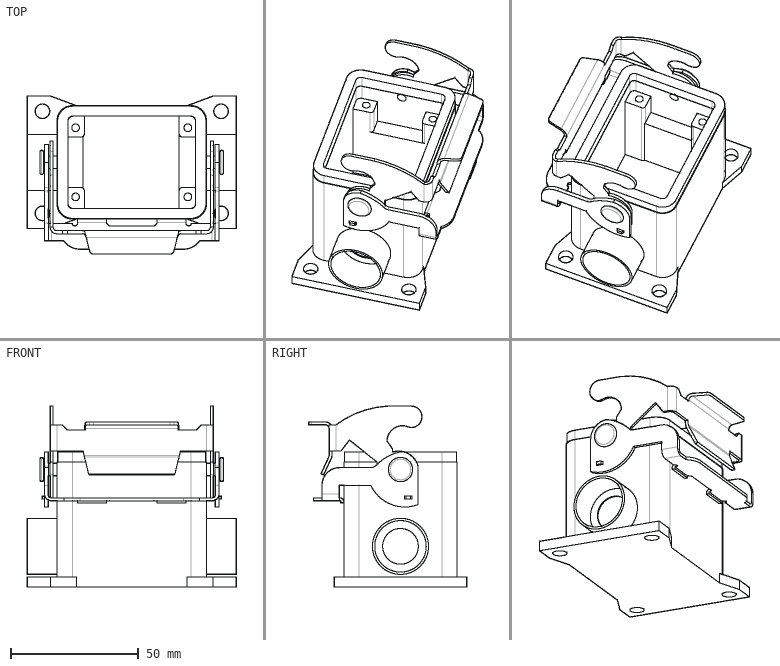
import cadquery as cq
import math

body_length = 58.6
body_width = 44.46
body_top = 53.0
body_corner_radius = 6.0
rim_step_height = 4.0
rim_step_inset = 0.25

cavity_length = 50.1
cavity_width = 36.3
cavity_corner_radius = 2.0
cavity_floor = 4.0
cavity_mouth_depth = 5.0
cavity_mouth_inset = 0.08
boss_top = 41.0
boss_inner_x = 18.6
boss_inner_y = 9.9
boss_edge_radius = 1.2
ledge_top = 29.7
ledge_left_x = -19.2
ledge_right_x = 18.6
screw_spacing_x = 44.0
screw_spacing_y = 27.1
screw_hole_diameter = 3.0
screw_hole_depth = 10.0

flange_length = 82.0
flange_width = 52.0
flange_thickness = 4.0
flange_tip_x = 31.8
flange_root_x = 21.7
mount_spacing_x = 70.0
mount_spacing_y = 40.0
mount_hole_diameter = 5.6

entry_height = 16.0
entry_diameter = 22.0
entry_bore_diameter = 20.2
entry_bore_depth = 13.0
knockout_diameter = 14.0
knockout_depth = 0.5

pivot_z = 46.1
pin_diameter = 5.0
pin_head_diameter = 9.5
pin_head_thickness = 1.45
pin_head_rounding = 0.72
pin_head_outer_x = 36.0
dimple_diameter = 3.6
dimple_depth = 0.5

lever_thickness = 1.2
lever_outer_x = 32.0
lever_bend_radius = 2.7
lever_strip_y = -28.0
lever_strip_top = 63.6
lever_strip_bottom = 53.3
lever_lobe_radius = 9.3
lever_lobe_z = 44.1
lever_lobe_back_y = 6.5
lever_head_y = 4.2
lever_head_radius = 4.25
lever_top = 71.0
lever_back_start_y = -4.9
lever_back_crown = (-15.2, 69.0)
hook_lip_mid = (3.0, 62.75)
hook_lip_end = (2.0, 63.1)
hook_throat_mid = (-2.7, 62.1)
hook_throat_end = (-5.25, 57.3)
lever_neck_y = -3.1
lever_neck_z = 54.2
lobe_shoulder_mid = (4.0, 51.6)
lever_arm_root_z = 49.1
lever_notch_peak = (-20.0, 57.6)
lever_notch_foot_y = -23.3
strip_shoulder_x = 27.2
strip_dip_x = 25.2
strip_dip_z = 61.6
lip_root_x = 18.5
lip_tip_x = 16.2
lip_tip_y = -35.98
lip_top = 64.8
lip_corner_radius = 1.5
flap_root_x = 19.1
flap_tip_x = 16.8
flap_bend_z = 51.3
flap_tip_z = 43.9
flap_angle = 25.0
flap_corner_radius = 1.0

bracket_leaf_thickness = 1.5
bracket_outer_x = 34.2
bracket_bend_radius = 2.8
bracket_bend_inner_radius = 1.3
bracket_eye_radius = 6.95
bracket_shoulder_mid = (-6.2, 50.5)
bracket_shoulder_end = (-9.8, 47.5)
bracket_arm_blend_mid = (-10.4, 47.1)
bracket_arm_start_y = -11.2
bracket_arm_top = 46.9
bracket_arm_bottom = 39.9
bracket_arm_front_y = -30.8
bracket_arm_back_y = -23.9
bracket_belly_radius = 14.7
bracket_belly_y = 1.7
bracket_plate_bottom = 33.8
bracket_plate_thickness = 1.2
bracket_nose_y = -34.1
bracket_nose_x = 20.2
bracket_nose_radius = 7.9
gap_x = 9.8
gap_y = -24.9
gap_chamfer = 0.99
tab_outer_x = 21.3
tab_bottom = 33.0
tab_bend_radius = 1.4
tab_thickness = 1.2
relief_width = 2.0
relief_depth = 0.9
relief_corner_radius = 0.85

lug_y = 3.05
lug_z = 35.1
lug_base_length = 3.0
lug_tip_length = 1.8
lug_height = 1.2
lug_rise = 0.9


def with_mirror_x(solid):
    return solid.union(solid.mirror("YZ"))


def block(x_min, x_max, y_min, y_max, z_min, z_max):
    return cq.Workplane("XY").box(
        x_max - x_min, y_max - y_min, z_max - z_min, centered=False
    ).translate((x_min, y_min, z_min))


def yz_sketch(x):
    return cq.Workplane("YZ", origin=(x, 0, 0))


def x_cylinder(diameter, x_start, length, z):
    return yz_sketch(x_start).center(0, z).circle(diameter / 2).extrude(length)


def make_shell():
    lower_height = body_top - rim_step_height
    shell = (
        cq.Workplane("XY")
        .rect(body_length, body_width)
        .extrude(lower_height)
        .edges("|Z")
        .fillet(body_corner_radius)
    )
    rim = (
        cq.Workplane("XY", origin=(0, 0, lower_height))
        .rect(body_length - 2 * rim_step_inset, body_width - 2 * rim_step_inset)
        .extrude(rim_step_height)
        .edges("|Z")
        .fillet(body_corner_radius - rim_step_inset)
    )
    return shell.union(rim)


def make_cavity():
    mouth_bottom = body_top - cavity_mouth_depth
    cavity = (
        cq.Workplane("XY", origin=(0, 0, cavity_floor))
        .rect(cavity_length - 2 * cavity_mouth_inset, cavity_width - 2 * cavity_mouth_inset)
        .extrude(mouth_bottom - cavity_floor)
        .edges("|Z")
        .fillet(cavity_corner_radius - cavity_mouth_inset)
    )
    mouth = (
        cq.Workplane("XY", origin=(0, 0, mouth_bottom))
        .rect(cavity_length, cavity_width)
        .extrude(cavity_mouth_depth)
        .edges("|Z")
        .fillet(cavity_corner_radius)
    )
    half_length = body_length / 2
    half_width = body_width / 2
    left_ledge = block(-half_length, ledge_left_x, -half_width, half_width, 0, ledge_top)
    right_ledge = block(ledge_right_x, half_length, -half_width, half_width, 0, ledge_top)
    cavity = cavity.union(mouth).cut(left_ledge).cut(right_ledge)
    boss = block(boss_inner_x, half_length, boss_inner_y, half_width, 0, boss_top)
    boss = boss.edges("|Z and <X and <Y").fillet(boss_edge_radius)
    bosses = with_mirror_x(boss)
    bosses = bosses.union(bosses.mirror("XZ"))
    return cavity.cut(bosses)


def make_flange():
    flange = (
        cq.Workplane("XY")
        .rect(flange_length, body_width)
        .extrude(flange_thickness)
    )
    ear = (
        cq.Workplane("XY")
        .moveTo(flange_root_x, 0)
        .lineTo(flange_root_x, body_width / 2)
        .lineTo(flange_tip_x, flange_width / 2)
        .lineTo(flange_length / 2, flange_width / 2)
        .lineTo(flange_length / 2, 0)
        .close()
        .extrude(flange_thickness)
    )
    ears = with_mirror_x(ear)
    return flange.union(ears).union(ears.mirror("XZ"))


def make_housing():
    entry = x_cylinder(entry_diameter, -flange_length / 2, flange_length, entry_height)
    housing = make_shell().union(entry).union(make_flange()).cut(make_cavity())

    bore_end_x = flange_length / 2 - entry_bore_depth
    bore = x_cylinder(entry_bore_diameter, bore_end_x, entry_bore_depth, entry_height)
    knockout = x_cylinder(knockout_diameter, bore_end_x - knockout_depth, entry_bore_depth, entry_height)
    dimple = x_cylinder(dimple_diameter, cavity_length / 2, dimple_depth, pivot_z)
    housing = housing.cut(with_mirror_x(bore.union(knockout).union(dimple)))

    mount_holes = (
        cq.Workplane("XY")
        .rect(mount_spacing_x, mount_spacing_y, forConstruction=True)
        .vertices()
        .circle(mount_hole_diameter / 2)
        .extrude(flange_thickness)
    )
    screw_holes = (
        cq.Workplane("XY", origin=(0, 0, boss_top))
        .rect(screw_spacing_x, screw_spacing_y, forConstruction=True)
        .vertices()
        .circle(screw_hole_diameter / 2)
        .extrude(-screw_hole_depth)
    )
    return housing.cut(mount_holes).cut(screw_holes)


def make_pins():
    head_inner_x = pin_head_outer_x - pin_head_thickness
    wall_x = (body_length + cavity_length) / 4
    shaft = x_cylinder(pin_diameter, wall_x, pin_head_outer_x - wall_x - pin_head_rounding, pivot_z)
    head = x_cylinder(pin_head_diameter, head_inner_x, pin_head_thickness, pivot_z)
    head = head.edges().fillet(pin_head_rounding)
    return with_mirror_x(shaft.union(head))


def make_lever_leaf():
    head_z = lever_top - lever_head_radius
    head_bottom = head_z - lever_head_radius
    lobe_back_z = lever_lobe_z - math.sqrt(lever_lobe_radius**2 - lever_lobe_back_y**2)
    lobe_diagonal = lever_lobe_radius / math.sqrt(2)
    bend_y = lever_strip_y + lever_bend_radius
    return (
        yz_sketch(lever_outer_x - lever_thickness)
        .moveTo(lever_back_start_y, lever_top)
        .lineTo(lever_head_y, lever_top)
        .threePointArc((lever_head_y + lever_head_radius, head_z), (lever_head_y, head_bottom))
        .threePointArc(hook_lip_mid, hook_lip_end)
        .threePointArc(hook_throat_mid, hook_throat_end)
        .lineTo(lever_neck_y, lever_neck_z)
        .lineTo(lever_neck_y, body_top)
        .threePointArc(lobe_shoulder_mid, (lever_lobe_back_y, pivot_z))
        .lineTo(lever_lobe_back_y, lobe_back_z)
        .threePointArc((-lobe_diagonal, lever_lobe_z - lobe_diagonal), (-lever_lobe_radius, lever_lobe_z))
        .lineTo(-lever_lobe_radius, lever_arm_root_z)
        .lineTo(*lever_notch_peak)
        .lineTo(lever_notch_foot_y, lever_strip_bottom)
        .lineTo(bend_y, lever_strip_bottom)
        .lineTo(bend_y, lever_strip_top)
        .threePointArc(lever_back_crown, (lever_back_start_y, lever_top))
        .close()
        .extrude(lever_thickness)
    )


def make_lever_strip():
    depth = 2 * lever_bend_radius
    outer = (
        cq.Workplane("XY")
        .rect(2 * lever_outer_x, 2 * depth)
        .extrude(lever_strip_top)
        .edges("|Z and <Y")
        .fillet(lever_bend_radius)
    )
    inner = (
        cq.Workplane("XY")
        .rect(2 * (lever_outer_x - lever_thickness), 2 * (depth - lever_thickness))
        .extrude(lever_strip_top)
        .edges("|Z and <Y")
        .fillet(lever_bend_radius - lever_thickness)
    )
    ring = outer.cut(inner).translate((0, lever_strip_y + depth, 0))
    bend_y = lever_strip_y + lever_bend_radius
    span = (-lever_outer_x, lever_outer_x)
    strip = ring.intersect(block(*span, lever_strip_y, bend_y, lever_strip_bottom, lever_strip_top))
    dip = (
        cq.Workplane("XZ")
        .moveTo(-strip_shoulder_x, lever_strip_top)
        .lineTo(-strip_dip_x, strip_dip_z)
        .lineTo(strip_dip_x, strip_dip_z)
        .lineTo(strip_shoulder_x, lever_strip_top)
        .close()
        .extrude(flange_width)
    )
    return strip.cut(dip)


def make_lip():
    inner_y = lever_strip_y + lever_thickness
    inner_radius = lever_bend_radius - lever_thickness
    bend_z = lip_top - lever_bend_radius
    bend_y = inner_y - lever_bend_radius
    outer_mid = lever_bend_radius / math.sqrt(2)
    inner_mid = inner_radius / math.sqrt(2)
    profile = (
        yz_sketch(-lip_root_x)
        .moveTo(inner_y, lever_strip_bottom)
        .lineTo(inner_y, bend_z)
        .threePointArc((bend_y + outer_mid, bend_z + outer_mid), (bend_y, lip_top))
        .lineTo(lip_tip_y, lip_top)
        .lineTo(lip_tip_y, lip_top - lever_thickness)
        .lineTo(bend_y, lip_top - lever_thickness)
        .threePointArc((bend_y + inner_mid, bend_z + inner_mid), (lever_strip_y, bend_z))
        .lineTo(lever_strip_y, lever_strip_bottom)
        .close()
        .extrude(2 * lip_root_x)
    )
    plan = (
        cq.Workplane("XY")
        .moveTo(-lip_root_x, inner_y)
        .lineTo(-lip_tip_x, lip_tip_y)
        .lineTo(lip_tip_x, lip_tip_y)
        .lineTo(lip_root_x, inner_y)
        .close()
        .extrude(lip_top)
        .edges("|Z and <Y")
        .fillet(lip_corner_radius)
    )
    return profile.intersect(plan)


def make_flap():
    inner_y = lever_strip_y + lever_thickness
    tilt = math.radians(flap_angle)
    crease_shift = lever_thickness * math.tan(tilt / 2)
    inner_bend_z = flap_bend_z - crease_shift
    drop = inner_bend_z - flap_tip_z
    inner_tip_y = inner_y - drop * math.tan(tilt)
    outer_tip_y = inner_tip_y - lever_thickness * math.cos(tilt)
    outer_tip_z = flap_tip_z + lever_thickness * math.sin(tilt)
    profile = (
        yz_sketch(-flap_root_x)
        .moveTo(inner_y, lever_strip_bottom)
        .lineTo(inner_y, inner_bend_z)
        .lineTo(inner_tip_y, flap_tip_z)
        .lineTo(outer_tip_y, outer_tip_z)
        .lineTo(lever_strip_y, flap_bend_z)
        .lineTo(lever_strip_y, lever_strip_bottom)
        .close()
        .extrude(2 * flap_root_x)
    )
    outer_crease = cq.NearestToPointSelector((0, lever_strip_y, flap_bend_z))
    inner_crease = cq.NearestToPointSelector((0, inner_y, inner_bend_z))
    profile = profile.edges(outer_crease).fillet(lever_bend_radius - lever_thickness)
    profile = profile.edges(inner_crease).fillet(lever_bend_radius)
    outline = (
        cq.Workplane("XZ")
        .moveTo(-flap_root_x, lever_strip_bottom)
        .lineTo(-flap_tip_x, flap_tip_z)
        .lineTo(flap_tip_x, flap_tip_z)
        .lineTo(flap_root_x, lever_strip_bottom)
        .close()
        .extrude(flange_width)
        .edges("|Y and <Z")
        .fillet(flap_corner_radius)
    )
    return profile.intersect(outline)


def make_lever():
    leaves = with_mirror_x(make_lever_leaf())
    return leaves.union(make_lever_strip()).union(make_lip()).union(make_flap())


def make_bracket_leaf():
    belly_drop = math.sqrt(bracket_belly_radius**2 - (bracket_eye_radius - bracket_belly_y) ** 2)
    arm_rise = pivot_z - bracket_arm_bottom
    belly_end_y = bracket_belly_y - math.sqrt(bracket_belly_radius**2 - arm_rise**2)
    elbow = bracket_arm_top - bracket_arm_bottom
    elbow_mid = elbow * (1 - 1 / math.sqrt(2))
    eye_mid = bracket_eye_radius / math.sqrt(2)
    return (
        yz_sketch(bracket_outer_x - bracket_leaf_thickness)
        .moveTo(bracket_eye_radius, pivot_z)
        .threePointArc((eye_mid, pivot_z + eye_mid), (0, pivot_z + bracket_eye_radius))
        .threePointArc(bracket_shoulder_mid, bracket_shoulder_end)
        .threePointArc(bracket_arm_blend_mid, (bracket_arm_start_y, bracket_arm_top))
        .lineTo(bracket_arm_front_y + elbow, bracket_arm_top)
        .threePointArc(
            (bracket_arm_front_y + elbow_mid, bracket_arm_top - elbow_mid),
            (bracket_arm_front_y, bracket_arm_bottom),
        )
        .lineTo(bracket_arm_front_y, bracket_plate_bottom)
        .lineTo(bracket_arm_back_y, bracket_plate_bottom)
        .lineTo(bracket_arm_back_y, bracket_arm_bottom)
        .lineTo(belly_end_y, bracket_arm_bottom)
        .threePointArc(
            (bracket_belly_y, pivot_z - bracket_belly_radius),
            (bracket_eye_radius, pivot_z - belly_drop),
        )
        .close()
        .extrude(bracket_leaf_thickness)
    )


def make_bracket_plate():
    nose_center_y = bracket_nose_y + bracket_nose_radius
    nose_drop = nose_center_y - bracket_arm_front_y
    shoulder_x = bracket_nose_x + math.sqrt(bracket_nose_radius**2 - nose_drop**2)
    nose_mid_angle = math.atan2(nose_drop, shoulder_x - bracket_nose_x) / 2 + math.pi / 4
    nose_mid_x = bracket_nose_x + bracket_nose_radius * math.cos(nose_mid_angle)
    nose_mid_y = nose_center_y - bracket_nose_radius * math.sin(nose_mid_angle)
    plate = (
        cq.Workplane("XY", origin=(0, 0, bracket_plate_bottom))
        .moveTo(0, bracket_nose_y)
        .lineTo(bracket_nose_x, bracket_nose_y)
        .threePointArc((nose_mid_x, nose_mid_y), (shoulder_x, bracket_arm_front_y))
        .lineTo(bracket_outer_x, bracket_arm_front_y)
        .lineTo(bracket_outer_x, bracket_arm_back_y)
        .lineTo(0, bracket_arm_back_y)
        .close()
        .extrude(bracket_plate_thickness)
    )
    return with_mirror_x(plate)


def make_bracket_tab():
    face_y = -body_width / 2
    top = bracket_plate_bottom + bracket_plate_thickness
    bend_mid = tab_bend_radius * (1 - 1 / math.sqrt(2))
    return (
        yz_sketch(gap_x)
        .moveTo(bracket_arm_back_y, top)
        .lineTo(face_y - tab_bend_radius, top)
        .threePointArc((face_y - bend_mid, top - bend_mid), (face_y, top - tab_bend_radius))
        .lineTo(face_y, tab_bottom)
        .lineTo(face_y - tab_thickness, tab_bottom)
        .lineTo(face_y - tab_thickness, bracket_plate_bottom)
        .lineTo(bracket_arm_back_y, bracket_plate_bottom)
        .close()
        .extrude(tab_outer_x - gap_x)
    )


def make_lug():
    base_x = bracket_outer_x - bracket_leaf_thickness / 2
    return (
        cq.Workplane("XY", origin=(0, lug_y, lug_z - lug_height / 2))
        .moveTo(base_x, -lug_base_length / 2)
        .lineTo(bracket_outer_x, -lug_base_length / 2)
        .lineTo(bracket_outer_x + lug_rise, -lug_tip_length / 2)
        .lineTo(bracket_outer_x + lug_rise, lug_tip_length / 2)
        .lineTo(bracket_outer_x, lug_base_length / 2)
        .lineTo(base_x, lug_base_length / 2)
        .close()
        .extrude(lug_height)
    )


def make_bracket():
    plate_top = bracket_plate_bottom + bracket_plate_thickness
    leaf_inner_x = bracket_outer_x - bracket_leaf_thickness
    bracket = make_bracket_plate().union(with_mirror_x(make_bracket_leaf()))

    arm = (bracket_arm_front_y, bracket_arm_back_y)
    bend_x = bracket_outer_x - bracket_bend_radius
    bend_z = bracket_plate_bottom + bracket_bend_radius
    outer_corner = block(bend_x, bracket_outer_x, *arm, bracket_plate_bottom, bend_z)
    outer_round = (
        cq.Workplane("XZ", origin=(bend_x, arm[1], bend_z))
        .circle(bracket_bend_radius)
        .extrude(arm[1] - arm[0])
    )
    fill_x = leaf_inner_x - bracket_bend_inner_radius
    fill_z = plate_top + bracket_bend_inner_radius
    inner_corner = block(fill_x, leaf_inner_x, *arm, plate_top, fill_z)
    inner_round = (
        cq.Workplane("XZ", origin=(fill_x, arm[1], fill_z))
        .circle(bracket_bend_inner_radius)
        .extrude(arm[1] - arm[0])
    )
    bracket = bracket.union(with_mirror_x(inner_corner.cut(inner_round)))
    bracket = bracket.cut(with_mirror_x(outer_corner.cut(outer_round)))

    gap = block(-gap_x, gap_x, gap_y, bracket_arm_back_y, bracket_plate_bottom, plate_top)
    gap = gap.edges("|Z and <Y").chamfer(gap_chamfer)
    relief = block(
        tab_outer_x,
        tab_outer_x + relief_width,
        bracket_arm_back_y - relief_depth,
        bracket_arm_back_y + relief_depth,
        bracket_plate_bottom,
        plate_top,
    ).edges("|Z and <Y").fillet(relief_corner_radius)
    bracket = bracket.cut(gap).cut(with_mirror_x(relief))
    return bracket.union(with_mirror_x(make_bracket_tab())).union(with_mirror_x(make_lug()))


result = make_housing().union(make_pins()).union(make_lever()).union(make_bracket())